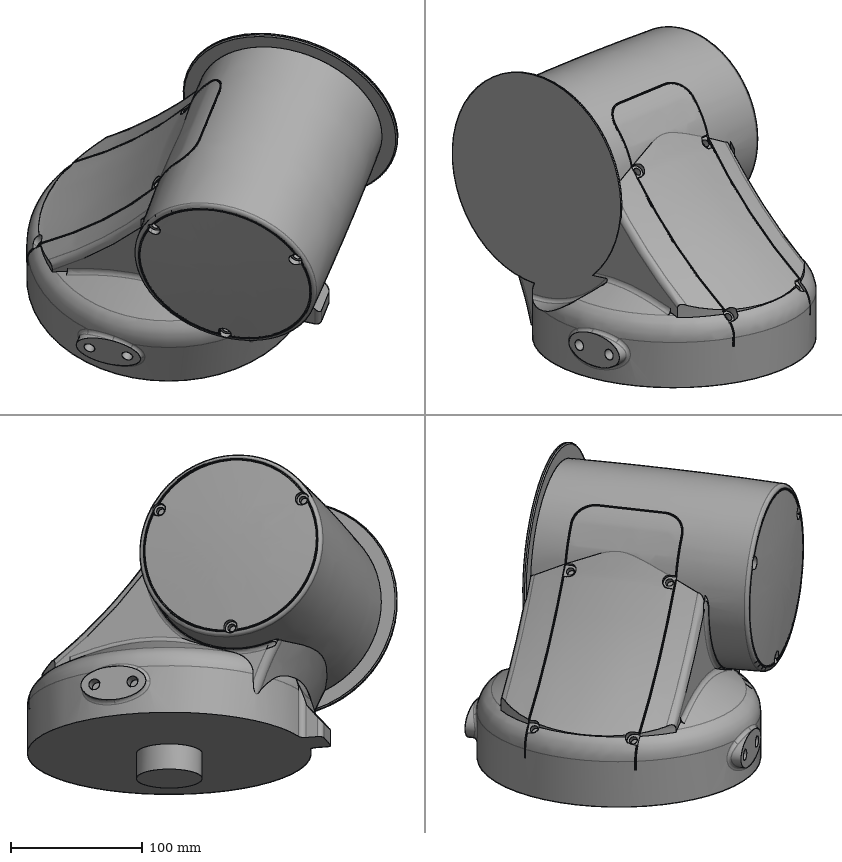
import cadquery as cq
import math

BASE_RADIUS = 108.0
BASE_WALL_HEIGHT = 37.0
BASE_SHOULDER_RADIUS = 20.0
ROOF_SLOPE = math.radians(26.8)
ROOF_EDGE_Z = BASE_WALL_HEIGHT + BASE_SHOULDER_RADIUS * math.cos(ROOF_SLOPE)
SPIGOT_RADIUS = 25.0
SPIGOT_LENGTH = 20.0

ARM_X = 75.0
ARM_Z = 130.0
ARM_BACK_RADIUS = 73.0
ARM_MIDDLE_RADIUS = 73.6
ARM_FRONT_RADIUS = 72.0
ARM_FRONT_Y = -102.0
ARM_EDGE_ROUND = 3.0

FLANGE_RADIUS = 85.0
FLANGE_BACK_Y = 73.5
FLANGE_THICKNESS = 2.5
FLANGE_FRONT_Y = FLANGE_BACK_Y - FLANGE_THICKNESS
FLANGE_CHAMFER = 1.0
CLEARANCE_RADIUS = 97.0
CLEARANCE_FILLET = 3.0

COVER_RADIUS = 67.5
COVER_RISE = 3.0
SCREW_CIRCLE_RADIUS = 64.8
COVER_SCREW_ANGLES = (30, 150, 270)

NECK_FRONT_Y = -68.0
NECK_BACK_Y = 73.0
NECK_CROWN = 8.0
NECK_FRONT_CORNER = 6.0
NECK_BACK_CORNER = 5.0
NECK_FOOT_RADIUS = 99.0
NECK_BOTTOM_Z = 10.0
SLOPE_TOP = (11.0, 166.0)
SLOPE_BOTTOM = (-97.7, 55.1)
SLOPE_HOLLOW = 8.3
REAR_TOP = (122.0, 76.0)
REAR_BOTTOM = (92.0, 10.0)
REAR_HOLLOW = 3.0
FOOT_WELD_RADIUS = 4.5
FOOT_WELD_HALF_LENGTH = 60.0
ARM_WELD_RADIUS = 3.0

PANEL_HALF_WIDTH = 44.5
PANEL_CORNER_RADIUS = 18.0
PANEL_TOP = (33.0, 190.0)
PANEL_BOTTOM_Z = 30.0
PANEL_FRAME_ORIGIN = (0.0, 100.0)
PANEL_REACH = 100.0
PANEL_FRAME_LENGTH = 250.0
PANEL_SCREW_Y = 39.5
PANEL_SCREW_POINTS = ((-92.0, 53.0), (0.0, 148.0))
GROOVE_WIDTH = 1.0
GROOVE_DEPTH = 1.0

POCKET_RADIUS = 5.0
POCKET_DEPTH = 4.0
SCREW_HOLE_RADIUS = 3.0
SCREW_HOLE_DEPTH = 9.0
POCKET_HEADROOM = 15.0

PAD_X = -15.0
PAD_Z = 25.0
PAD_Y = 110.0
PAD_HALF_LENGTH = 25.5
PAD_HALF_HEIGHT = 13.3
PAD_DEPTH = 30.0
PAD_ROOT_FILLET = 3.0
PAD_HOLE_SPACING = 30.0
PAD_HOLE_RADIUS = 4.2
PAD_HOLE_DEPTH = 10.0

BLOCK_HALF_WIDTH = 14.0
BLOCK_START_X = 90.0
BLOCK_END_X = 124.2
BLOCK_END_HEIGHT = 12.0
BLOCK_BEND = (111.8, 25.5)
BLOCK_TOP = (104.0, 47.0)
BLOCK_CURVE_POINT = (108.3, 36.0)
BLOCK_CORNER_RADIUS = 4.0
BLOCK_FLARE_RADIUS = 5.0

Y_DIRECTION = cq.Vector(0, 1, 0)


def y_cylinder(radius, start_y, end_y):
    """Cylinder about the arm axis between two Y positions."""
    return (cq.Workplane("XZ", origin=(ARM_X, start_y, ARM_Z))
            .circle(radius).extrude(start_y - end_y))


def make_base(inset):
    """Pan with every outer surface moved inwards by inset."""
    shoulder = BASE_SHOULDER_RADIUS - inset
    center_r = BASE_RADIUS - BASE_SHOULDER_RADIUS
    mid_angle = (math.pi / 2 - ROOF_SLOPE) / 2

    def on_shoulder(angle):
        return (center_r + shoulder * math.cos(angle), BASE_WALL_HEIGHT + shoulder * math.sin(angle))

    roof_r, roof_z = on_shoulder(2 * mid_angle)
    apex_z = roof_z + roof_r * math.tan(ROOF_SLOPE)
    return (cq.Workplane("XZ").moveTo(0, 0).lineTo(BASE_RADIUS - inset, 0)
            .lineTo(BASE_RADIUS - inset, BASE_WALL_HEIGHT)
            .threePointArc(on_shoulder(mid_angle), (roof_r, roof_z))
            .lineTo(0, apex_z).close()
            .revolve(360, (0, 0, 0), (0, 1, 0)))


def make_arm(inset):
    """Barrelled drum with a rounded front edge and a domed cover."""
    middle_y = (FLANGE_FRONT_Y + ARM_FRONT_Y) / 2
    rim = ARM_FRONT_RADIUS - inset
    rounding = ARM_EDGE_ROUND * (1 - math.sqrt(0.5))
    front_y = ARM_FRONT_Y + inset
    dome_y = front_y - COVER_RISE
    cover = COVER_RADIUS - inset
    dome_radius = (cover ** 2 + COVER_RISE ** 2) / (2 * COVER_RISE)
    half_r = cover / 2
    half_y = dome_y + dome_radius - math.sqrt(dome_radius ** 2 - half_r ** 2)
    return (cq.Workplane("XY", origin=(ARM_X, 0, ARM_Z))
            .moveTo(0, FLANGE_BACK_Y).lineTo(ARM_BACK_RADIUS - inset, FLANGE_BACK_Y)
            .threePointArc((ARM_MIDDLE_RADIUS - inset, middle_y), (rim, front_y + ARM_EDGE_ROUND))
            .threePointArc((rim - rounding, front_y + rounding), (rim - ARM_EDGE_ROUND, front_y))
            .lineTo(cover, front_y)
            .threePointArc((half_r, half_y), (0, dome_y)).close()
            .revolve(360, (0, 0, 0), (0, 1, 0)))


def make_saddle(first, second, hollow, inset):
    """Ring-shaped cutter leaving a hollow, crowned face with rounded corners.

    The hollow runs from first to second in XZ, with its centre on the left of that direction.
    """
    dx = second[0] - first[0]
    dz = second[1] - first[1]
    chord = math.hypot(dx, dz)
    radius = chord ** 2 / (8 * hollow) + hollow / 2
    offset = radius - hollow
    center_x = (first[0] + second[0]) / 2 - dz / chord * offset
    center_z = (first[1] + second[1]) / 2 + dx / chord * offset

    crest = radius + inset
    shoulder = crest + NECK_CROWN
    front = NECK_FRONT_CORNER
    back = NECK_BACK_CORNER
    arc_share = 1 - math.sqrt(0.5)
    front_y = NECK_FRONT_Y + inset
    back_y = NECK_BACK_Y - inset
    return (cq.Workplane("XY", origin=(center_x, 0, center_z))
            .moveTo(0, front_y - front).lineTo(shoulder + front, front_y - front)
            .lineTo(shoulder + front, front_y)
            .threePointArc((shoulder + front * arc_share, front_y + front * arc_share),
                           (shoulder, front_y + front))
            .threePointArc((crest, (front_y + back_y) / 2), (shoulder, back_y - back))
            .threePointArc((shoulder + back * arc_share, back_y - back * arc_share),
                           (shoulder + back, back_y))
            .lineTo(shoulder + back, back_y + back).lineTo(0, back_y + back).close()
            .revolve(360, (0, 0, 0), (0, 1, 0)))


def make_neck(inset):
    """Block under the arm, cut to its sloped front and rear faces."""
    outline = [(-NECK_FOOT_RADIUS, NECK_BOTTOM_Z), (REAR_TOP[0], NECK_BOTTOM_Z), REAR_TOP,
               (ARM_X, ARM_Z), SLOPE_TOP, (-NECK_FOOT_RADIUS, SLOPE_TOP[1])]
    block = (cq.Workplane("XZ", origin=(0, NECK_BACK_Y - inset, 0))
             .polyline(outline).close().extrude(NECK_BACK_Y - NECK_FRONT_Y - 2 * inset))
    foot = (cq.Workplane("XY").circle(NECK_FOOT_RADIUS).extrude(SLOPE_TOP[1])
            .union(cq.Workplane("XY").box(REAR_TOP[0], 2 * NECK_FOOT_RADIUS, SLOPE_TOP[1],
                                          centered=(False, True, False))))
    block = block.intersect(foot)
    block = block.cut(make_saddle(SLOPE_BOTTOM, SLOPE_TOP, SLOPE_HOLLOW, inset))
    return block.cut(make_saddle(REAR_TOP, REAR_BOTTOM, REAR_HOLLOW, inset))


def make_housing(inset=0.0):
    """Base, neck and arm as one body."""
    return make_base(inset).union(make_neck(inset)).union(make_arm(inset))


def make_foot_weld(side):
    """Concave fillet between a side face of the neck and the roof of the base."""
    face_y = NECK_BACK_Y if side > 0 else NECK_FRONT_Y
    length = 2 * FOOT_WELD_HALF_LENGTH
    depth = abs(face_y)
    wall = (cq.Workplane("XY", origin=(0, face_y - side * depth / 2, 0))
            .box(length, depth, 2 * ARM_Z))
    seam_away = make_base(0).rotate((0, 0, 0), (0, 0, 1), -90 * side)
    joined = seam_away.union(wall)
    root = [edge for edge in joined.edges().vals()
            if edge.geomType() == "HYPERBOLA" and abs(edge.Center().y - face_y) < FOOT_WELD_RADIUS]
    outside = (cq.Workplane("XY", origin=(0, face_y + side * FOOT_WELD_RADIUS / 2, ROOF_EDGE_Z))
               .box(length, FOOT_WELD_RADIUS, ARM_Z, centered=(True, True, False)))
    return joined.newObject(root).fillet(FOOT_WELD_RADIUS).intersect(outside)


def make_arm_weld():
    """Concave fillet between the front side face of the neck and the arm."""
    size = ARM_WELD_RADIUS
    inner = ARM_FRONT_RADIUS - size
    root = ARM_MIDDLE_RADIUS
    outer_y = NECK_FRONT_Y - size
    arc_share = 1 - math.sqrt(0.5)
    ring = (cq.Workplane("XY", origin=(ARM_X, 0, ARM_Z))
            .moveTo(inner, NECK_FRONT_Y).lineTo(root + size, NECK_FRONT_Y)
            .threePointArc((root + size * arc_share, NECK_FRONT_Y - size * arc_share), (root, outer_y))
            .lineTo(inner, outer_y).close()
            .revolve(360, (0, 0, 0), (0, 1, 0)))
    return ring.intersect(make_neck(0).translate((0, -size, 0)))


def make_flange():
    """Chamfered disc behind the arm."""
    return y_cylinder(FLANGE_RADIUS, FLANGE_BACK_Y, FLANGE_FRONT_Y).faces("<Y").chamfer(FLANGE_CHAMFER)


def make_clearance():
    """Space cleared behind the flange, with a rounded inner corner."""
    space = y_cylinder(CLEARANCE_RADIUS, FLANGE_BACK_Y + PAD_Y, FLANGE_BACK_Y)
    return space.faces("<Y").edges().fillet(CLEARANCE_FILLET)


def is_pad_root(edge, side):
    """True for a curved edge where the pad on the given side meets the base."""
    box = edge.BoundingBox()
    margin = 1.0
    below_face = PAD_Y - side * edge.Center().y > margin
    inside_x = (box.xmin > PAD_X - PAD_HALF_LENGTH - margin
                and box.xmax < PAD_X + PAD_HALF_LENGTH + margin)
    on_pad = side * edge.Center().y > PAD_Y - PAD_DEPTH / 2 and box.zmin > margin
    return edge.geomType() != "LINE" and below_face and inside_x and on_pad


def add_pad(body, side):
    """Join an oval pad with a filleted root; side is -1 for the -Y side and +1 for the +Y side."""
    plane = cq.Plane(origin=(PAD_X, side * PAD_Y, PAD_Z), xDir=(1, 0, 0), normal=(0, -side, 0))
    pad = cq.Workplane(plane).ellipse(PAD_HALF_LENGTH, PAD_HALF_HEIGHT).extrude(PAD_DEPTH)
    joined = body.union(pad)
    root = [edge for edge in joined.edges().vals() if is_pad_root(edge, side)]
    return joined.newObject(root).fillet(PAD_ROOT_FILLET)


def make_pad_holes(side):
    """Two blind holes in the face of a pad."""
    plane = cq.Plane(origin=(PAD_X, side * PAD_Y, PAD_Z), xDir=(1, 0, 0), normal=(0, -side, 0))
    half = PAD_HOLE_SPACING / 2
    return (cq.Workplane(plane).pushPoints([(-half, 0), (half, 0)])
            .circle(PAD_HOLE_RADIUS).extrude(PAD_HOLE_DEPTH))


def make_side_block():
    """Block on the +X side with flared sides and a sloped top that curves up into the base wall."""
    flare = BLOCK_FLARE_RADIUS
    center_x = math.sqrt((BASE_RADIUS + flare) ** 2 - (BLOCK_HALF_WIDTH + flare) ** 2)
    center_y = BLOCK_HALF_WIDTH + flare
    wall_share = BASE_RADIUS / (BASE_RADIUS + flare)
    wall_angle = math.atan2(center_y, center_x)
    mid_angle = (wall_angle + math.pi + 3 * math.pi / 2) / 2
    mid_x = center_x + flare * math.cos(mid_angle)
    mid_y = center_y + flare * math.sin(mid_angle)
    wall_x = center_x * wall_share
    wall_y = center_y * wall_share

    plan = (cq.Workplane("XY").moveTo(BLOCK_START_X, -wall_y).lineTo(wall_x, -wall_y)
            .threePointArc((mid_x, -mid_y), (center_x, -BLOCK_HALF_WIDTH))
            .lineTo(BLOCK_END_X, -BLOCK_HALF_WIDTH).lineTo(BLOCK_END_X, BLOCK_HALF_WIDTH)
            .lineTo(center_x, BLOCK_HALF_WIDTH)
            .threePointArc((mid_x, mid_y), (wall_x, wall_y))
            .lineTo(BLOCK_START_X, wall_y).close()
            .extrude(BLOCK_TOP[1])
            .edges("|Z and >X").fillet(BLOCK_CORNER_RADIUS))
    profile = (cq.Workplane("XZ", origin=(0, center_y, 0))
               .moveTo(BLOCK_START_X, 0).lineTo(BLOCK_END_X, 0).lineTo(BLOCK_END_X, BLOCK_END_HEIGHT)
               .lineTo(*BLOCK_BEND).threePointArc(BLOCK_CURVE_POINT, BLOCK_TOP)
               .lineTo(BLOCK_START_X, BLOCK_TOP[1]).close()
               .extrude(2 * center_y))
    return plan.intersect(profile)


def make_screw_pocket(point, outward, normal, reach):
    """Pocket and screw hole at a surface point; the pocket runs out along outward by reach."""
    plane = cq.Plane(origin=point, xDir=outward, normal=normal)
    floor = cq.Workplane(plane).workplane(offset=-POCKET_DEPTH)
    height = POCKET_DEPTH + POCKET_HEADROOM
    pocket = floor.circle(POCKET_RADIUS).extrude(height)
    runout = floor.center(reach / 2, 0).rect(reach, 2 * POCKET_RADIUS).extrude(height)
    hole = (cq.Workplane(plane).workplane(offset=-SCREW_HOLE_DEPTH)
            .circle(SCREW_HOLE_RADIUS).extrude(SCREW_HOLE_DEPTH))
    return pocket.union(runout).union(hole)


def slope_normal():
    """Unit normal of the sloped neck face, pointing up and to -X."""
    dx = SLOPE_TOP[0] - SLOPE_BOTTOM[0]
    dz = SLOPE_TOP[1] - SLOPE_BOTTOM[1]
    chord = math.hypot(dx, dz)
    return cq.Vector(-dz / chord, 0, dx / chord)


def make_panel_groove(housing):
    """Groove of even depth following the panel outline over neck, arm and base."""
    normal = slope_normal()
    up_slope = Y_DIRECTION.cross(normal)
    origin = cq.Vector(PANEL_FRAME_ORIGIN[0], 0, PANEL_FRAME_ORIGIN[1])
    top = (cq.Vector(PANEL_TOP[0], 0, PANEL_TOP[1]) - origin).dot(up_slope)
    plane = cq.Plane(origin=origin.toTuple(), xDir=up_slope.toTuple(), normal=normal.toTuple())

    def slab(shrink):
        length = PANEL_FRAME_LENGTH - shrink
        return (cq.Workplane(plane).center(top - shrink - length / 2, 0)
                .rect(length, 2 * (PANEL_HALF_WIDTH - shrink)).extrude(PANEL_REACH)
                .edges(cq.selectors.ParallelDirSelector(normal))
                .fillet(PANEL_CORNER_RADIUS - shrink))

    frame = slab(0).cut(slab(GROOVE_WIDTH))
    keep = (cq.Workplane("XY", origin=(0, 0, PANEL_BOTTOM_Z))
            .rect(2 * PANEL_FRAME_LENGTH, 2 * PANEL_FRAME_LENGTH).extrude(PANEL_FRAME_LENGTH))
    return frame.intersect(keep).intersect(housing).cut(make_housing(GROOVE_DEPTH))


def make_cover_ring():
    """Thin groove around the front cover."""
    bottom_y = ARM_FRONT_Y + GROOVE_DEPTH
    top_y = ARM_FRONT_Y - COVER_RISE
    return y_cylinder(COVER_RADIUS + GROOVE_WIDTH, bottom_y, top_y).cut(
        y_cylinder(COVER_RADIUS, bottom_y, top_y))


def build_part():
    """Whole part: housing with its fillets, flange, fittings, grooves and screw pockets."""
    plain = make_housing()
    groove = make_panel_groove(plain)
    part = plain.union(make_arm_weld())
    for side in (-1, 1):
        part = part.union(make_foot_weld(side))
    for side in (-1, 1):
        part = add_pad(part, side).cut(make_pad_holes(side))
    part = part.cut(make_clearance())
    part = part.union(make_flange()).union(make_side_block())
    part = part.union(cq.Workplane("XY").circle(SPIGOT_RADIUS).extrude(-SPIGOT_LENGTH))
    part = part.cut(groove).cut(make_cover_ring())

    for degrees in COVER_SCREW_ANGLES:
        angle = math.radians(degrees)
        outward = (math.cos(angle), 0, math.sin(angle))
        point = (ARM_X + SCREW_CIRCLE_RADIUS * outward[0], ARM_FRONT_Y,
                 ARM_Z + SCREW_CIRCLE_RADIUS * outward[2])
        part = part.cut(make_screw_pocket(point, outward, (0, -1, 0), COVER_RADIUS - SCREW_CIRCLE_RADIUS))

    normal = slope_normal().toTuple()
    for side in (-1, 1):
        for x, z in PANEL_SCREW_POINTS:
            pocket = make_screw_pocket((x, side * PANEL_SCREW_Y, z), (0, side, 0), normal,
                                       PANEL_HALF_WIDTH - PANEL_SCREW_Y)
            part = part.cut(pocket)
    return part


result = build_part()